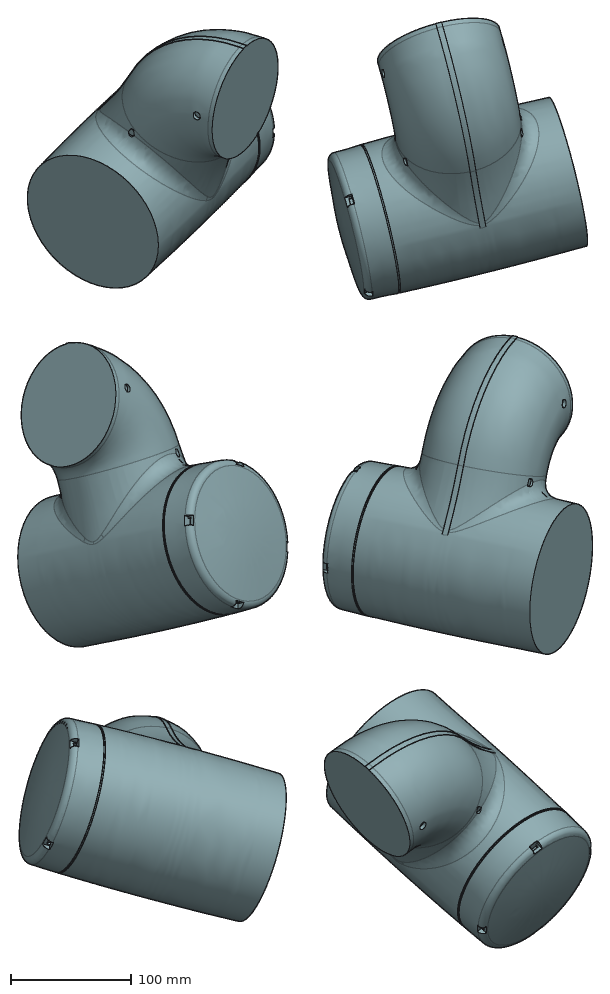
import cadquery as cq
import math

BARREL_END_RADIUS = 63.7
BARREL_MID_RADIUS = 64.9
FRONT_LENGTH = 85.0

SEAM_Y = 75.5
SEAM_WIDTH = 1.4
SEAM_DEPTH = 0.7
CAP_RADIUS = 62.8
CAP_SHOULDER_Y = 99.7
CAP_ROUND_RADIUS = 5.7
CAP_APEX_Y = 110.0
NOTCH_WIDTH = 8.6
NOTCH_DEPTH = 4.5
NOTCH_LENGTH = 6.4
CATCH_WIDTH = 6.0
CATCH_LENGTH = 3.0
CATCH_DEPTH = 2.3
CAP_NOTCH_COUNT = 4

PIPE_RADIUS = 52.5
BEND_RADIUS = 64.0
BEND_ANGLE = 65.0
NECK_TOP = 80.3
NECK_MID = 49.0
NECK_MID_RADIUS = 55.3
NECK_BOTTOM = 13.7
NECK_BOTTOM_RADIUS = 62.8
NECK_FILLET = 13.7
COLLAR_END_X = 96.0

RIB_WIDTH = 5.0
RIB_HEIGHT = 0.5

SCREW_POSITIONS = [(15.7, 75.3), (80.5, 118.0)]
SCREW_DIAMETER = 6.8
SCREW_FLOOR_Y = 49.0

BRANCH_TILT = 90.0 - BEND_ANGLE
TILT = math.radians(BRANCH_TILT)
BRANCH_DIRECTION = (math.sin(TILT), 0, math.cos(TILT))
BEND_START_X = NECK_TOP * math.sin(TILT)
BEND_START_Z = NECK_TOP * math.cos(TILT)
BEND_CENTER_X = BEND_START_X + BEND_RADIUS * math.cos(TILT)
BEND_CENTER_Z = BEND_START_Z - BEND_RADIUS * math.sin(TILT)
PIPE_END_Z = BEND_CENTER_Z + BEND_RADIUS


def make_barrel():
    """Slightly bulged barrel that also forms the core of the cap."""
    return (
        cq.Workplane("XY")
        .moveTo(0, -FRONT_LENGTH)
        .lineTo(BARREL_END_RADIUS, -FRONT_LENGTH)
        .threePointArc((BARREL_MID_RADIUS, 0), (BARREL_END_RADIUS, SEAM_Y))
        .lineTo(BARREL_END_RADIUS - SEAM_DEPTH, SEAM_Y)
        .lineTo(BARREL_END_RADIUS - SEAM_DEPTH, SEAM_Y + SEAM_WIDTH)
        .lineTo(0, SEAM_Y + SEAM_WIDTH)
        .close()
        .revolve(360, (0, 0, 0), (0, 1, 0))
    )


def make_cap():
    """Tapered cap with a rounded shoulder, a shallow dome and rim notches."""
    dome_edge_y = CAP_SHOULDER_Y + CAP_ROUND_RADIUS
    dome_edge_radius = CAP_RADIUS - CAP_ROUND_RADIUS
    dome_rise = CAP_APEX_Y - dome_edge_y
    dome_radius = (dome_edge_radius**2 + dome_rise**2) / (2 * dome_rise)
    half_radius = dome_edge_radius / 2
    half_y = CAP_APEX_Y - dome_radius + math.sqrt(dome_radius**2 - half_radius**2)
    round_mid = CAP_ROUND_RADIUS * math.sqrt(0.5)
    cap = (
        cq.Workplane("XY")
        .moveTo(0, SEAM_Y + SEAM_WIDTH)
        .lineTo(BARREL_END_RADIUS, SEAM_Y + SEAM_WIDTH)
        .lineTo(CAP_RADIUS, CAP_SHOULDER_Y)
        .threePointArc(
            (dome_edge_radius + round_mid, CAP_SHOULDER_Y + round_mid),
            (dome_edge_radius, dome_edge_y),
        )
        .threePointArc((half_radius, half_y), (0, CAP_APEX_Y))
        .close()
        .revolve(360, (0, 0, 0), (0, 1, 0))
    )
    notch = cq.Workplane("XY").box(NOTCH_WIDTH, NOTCH_LENGTH, 2 * NOTCH_DEPTH).translate(
        (0, dome_edge_y - NOTCH_LENGTH / 2, CAP_RADIUS)
    )
    catch = (
        cq.Workplane("XY")
        .box(CATCH_WIDTH, CATCH_LENGTH, 2 * CATCH_DEPTH)
        .translate((0, dome_edge_y - NOTCH_LENGTH + CATCH_LENGTH / 2, CAP_RADIUS - NOTCH_DEPTH))
    )
    notch = notch.union(catch)
    for index in range(CAP_NOTCH_COUNT):
        angle = index * 360 / CAP_NOTCH_COUNT
        cap = cap.cut(notch.rotate((0, 0, 0), (0, 1, 0), angle))
    return cap


def make_neck(growth=0):
    """Flared branch root, revolved about Z and then tilted toward +X."""
    return (
        cq.Workplane("XZ")
        .lineTo(NECK_BOTTOM_RADIUS + growth, 0)
        .lineTo(NECK_BOTTOM_RADIUS + growth, NECK_BOTTOM)
        .threePointArc((NECK_MID_RADIUS + growth, NECK_MID), (PIPE_RADIUS + growth, NECK_TOP))
        .lineTo(0, NECK_TOP)
        .close()
        .revolve(360, (0, 0, 0), (0, 1, 0))
        .rotate((0, 0, 0), (0, 1, 0), BRANCH_TILT)
    )


def make_elbow(growth=0):
    """Bend from the neck to +X, with a short straight collar."""
    bend_plane = cq.Plane(
        origin=(BEND_START_X, 0, BEND_START_Z), xDir=(0, 1, 0), normal=BRANCH_DIRECTION
    )
    pipe_end = (BEND_CENTER_X, 0, PIPE_END_Z)
    half_angle = math.radians((BRANCH_TILT + 90) / 2)
    bend_mid = (
        BEND_CENTER_X - BEND_RADIUS * math.cos(half_angle),
        BEND_CENTER_Z + BEND_RADIUS * math.sin(half_angle),
    )
    path = (
        cq.Workplane("XZ")
        .moveTo(BEND_START_X, BEND_START_Z)
        .threePointArc(bend_mid, (BEND_CENTER_X, PIPE_END_Z))
    )
    bend = cq.Workplane(bend_plane).circle(PIPE_RADIUS + growth).sweep(path)
    collar = (
        cq.Workplane("YZ", origin=pipe_end)
        .circle(PIPE_RADIUS + growth)
        .extrude(COLLAR_END_X - BEND_CENTER_X)
    )
    return bend.union(collar)


def make_rib():
    """Thin mid-plane slice of a slightly enlarged branch."""
    slab_size = 4 * COLLAR_END_X
    slab = cq.Workplane("XY").box(slab_size, RIB_WIDTH, slab_size)
    return make_neck(RIB_HEIGHT).union(make_elbow(RIB_HEIGHT)).intersect(slab)


def fillet_neck(body):
    """Blend the saddle-shaped edge between barrel and neck."""
    saddle_center = (NECK_MID * math.sin(TILT), 0, NECK_MID * math.cos(TILT))
    return body.edges(cq.selectors.NearestToPointSelector(saddle_center)).fillet(NECK_FILLET)


def cut_screw_holes(body):
    """Cut mirrored blind holes down to a floor inside the pipe wall."""
    for x, z in SCREW_POSITIONS:
        for side in (-1, 1):
            hole = cq.Solid.makeCylinder(
                SCREW_DIAMETER / 2,
                BARREL_MID_RADIUS - SCREW_FLOOR_Y,
                cq.Vector(x, side * SCREW_FLOOR_Y, z),
                cq.Vector(0, side, 0),
            )
            body = body.cut(cq.Workplane(obj=hole))
    return body


body = make_barrel().union(make_neck())
body = fillet_neck(body)
body = body.union(make_cap()).union(make_elbow()).union(make_rib())
result = cut_screw_holes(body)